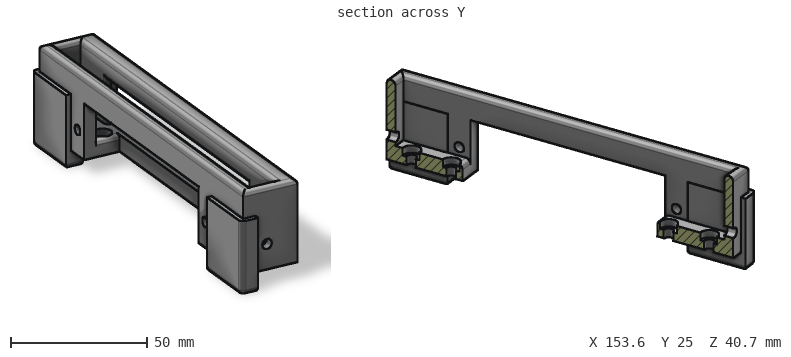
import cadquery as cq
import math

LENGTH = 153.6
DEPTH = 25.0
HEIGHT = 40.7

PAD_OVERHANG = 2.0
PAD_LENGTH = 25.0
PAD_DEPTH = 7.2
PAD_HEIGHT = 30.0
PAD_FILLET = PAD_OVERHANG

EDGE_FILLET = 2.0
FRAME_BASE = 7.2
FRONT_WALL = 5.0
BACK_WALL = 8.0
END_WALL = 2 * EDGE_FILLET
FLOOR = 6.8

OPENING_LENGTH = 83.9

WINDOW_LENGTH = 103.5
WINDOW_TOP = 32.0
LIP_THICKNESS = EDGE_FILLET
RECESS_MARGIN = 6.1

HOLE_DIAMETER = 4.0
COUNTERBORE_DIAMETER = 7.0
COUNTERBORE_DEPTH = 3.0
INNER_HOLE_X = 46.8
OUTER_HOLE_X = 64.2
INNER_HOLE_Y = 12.6
OUTER_HOLE_Y = 12.1
WALL_HOLE_Z = 17.5

TOLERANCE = 0.2

FRAME_LENGTH = LENGTH - 2 * PAD_OVERHANG
FRAME_FRONT = PAD_OVERHANG
CHANNEL_FRONT = FRAME_FRONT + FRONT_WALL
CHANNEL_BACK = DEPTH - BACK_WALL
CHANNEL_LENGTH = FRAME_LENGTH - 2 * END_WALL
FLOOR_TOP = FRAME_BASE + FLOOR


def block(length, y_min, y_max, z_min, z_max):
    """Box centred on X = 0 between the given Y and Z limits."""
    box = cq.Workplane("XY").box(length, y_max - y_min, z_max - z_min, centered=(True, False, False))
    return box.translate((0, y_min, z_min))


def flared_prism(plane, side_min, side_max, reach):
    """Prism through the frame whose two sides curve outward at the top, leaving rounded rims."""
    shoulder = HEIGHT - EDGE_FILLET
    arc_mid_offset = EDGE_FILLET * (1 - math.sqrt(0.5))
    arc_mid_z = HEIGHT - arc_mid_offset
    return (
        cq.Workplane(plane)
        .moveTo(side_min, FRAME_BASE)
        .lineTo(side_max, FRAME_BASE)
        .lineTo(side_max, shoulder)
        .threePointArc((side_max + arc_mid_offset, arc_mid_z), (side_max + EDGE_FILLET, HEIGHT))
        .lineTo(side_min - EDGE_FILLET, HEIGHT)
        .threePointArc((side_min - arc_mid_offset, arc_mid_z), (side_min, shoulder))
        .close()
        .extrude(reach, both=True)
    )


def make_frame():
    """Rectangular wall ring with rounded rims, a notch in the front wall and a window in the back wall."""
    frame = block(FRAME_LENGTH, FRAME_FRONT, DEPTH, FRAME_BASE, HEIGHT)
    frame = frame.faces(">Z").edges().fillet(EDGE_FILLET)
    channel = flared_prism("XZ", -CHANNEL_LENGTH / 2, CHANNEL_LENGTH / 2, DEPTH)
    channel = channel.intersect(flared_prism("YZ", CHANNEL_FRONT, CHANNEL_BACK, LENGTH))
    frame = frame.cut(channel)
    frame = frame.cut(block(OPENING_LENGTH, FRAME_FRONT, CHANNEL_FRONT, FRAME_BASE, PAD_HEIGHT))
    return cut_window(frame)


def cut_window(frame):
    """Back wall window level with the floor, rounded along the lip's top and ends, recessed at the back."""
    frame = frame.cut(block(WINDOW_LENGTH, CHANNEL_BACK, DEPTH, FLOOR_TOP, WINDOW_TOP))
    lip_edges = cq.selectors.BoxSelector(
        (-WINDOW_LENGTH / 2 - TOLERANCE, CHANNEL_BACK - TOLERANCE, FLOOR_TOP + TOLERANCE),
        (WINDOW_LENGTH / 2 + TOLERANCE, CHANNEL_BACK + TOLERANCE, WINDOW_TOP + TOLERANCE),
    )
    frame = frame.edges(lip_edges).fillet(EDGE_FILLET)
    recess_length = WINDOW_LENGTH + 2 * RECESS_MARGIN
    recess_front = CHANNEL_BACK + LIP_THICKNESS
    return frame.cut(block(recess_length, recess_front, DEPTH, FLOOR_TOP, WINDOW_TOP + RECESS_MARGIN))


def make_floor():
    """Left piece of floor between the walls, with its free upper edge rounded."""
    length = (CHANNEL_LENGTH - OPENING_LENGTH) / 2
    floor = block(length, CHANNEL_FRONT, CHANNEL_BACK, FRAME_BASE, FLOOR_TOP)
    floor = floor.edges(">X and >Z").fillet(EDGE_FILLET)
    return floor.translate((-(CHANNEL_LENGTH - length) / 2, 0, 0))


def make_pad():
    """Left pad, rounded at its outer front corner and around its bottom."""
    pad = cq.Workplane("XY").box(PAD_LENGTH, PAD_DEPTH, PAD_HEIGHT, centered=False)
    pad = pad.edges("|Z and <X and <Y").fillet(PAD_FILLET)
    pad = pad.faces("<Z").edges().fillet(PAD_FILLET)
    return pad.translate((-LENGTH / 2, 0, 0))


def cylinder(diameter, length, start, direction):
    """Round bar from a start point along a direction."""
    return cq.Workplane(cq.Solid.makeCylinder(diameter / 2, length, cq.Vector(*start), cq.Vector(*direction)))


def floor_hole(x, y):
    """Counterbored hole down through the floor."""
    hole = cylinder(HOLE_DIAMETER, FLOOR, (x, y, FRAME_BASE), (0, 0, 1))
    head = cylinder(COUNTERBORE_DIAMETER, COUNTERBORE_DEPTH, (x, y, FLOOR_TOP - COUNTERBORE_DEPTH), (0, 0, 1))
    return hole.union(head)


left_end = make_pad().union(make_floor())
result = make_frame().union(left_end).union(left_end.mirror("YZ"))

for side in (-1, 1):
    inner_x = side * INNER_HOLE_X
    result = result.cut(floor_hole(inner_x, INNER_HOLE_Y))
    result = result.cut(floor_hole(side * OUTER_HOLE_X, OUTER_HOLE_Y))
    result = result.cut(cylinder(HOLE_DIAMETER, DEPTH, (inner_x, 0, WALL_HOLE_Z), (0, 1, 0)))

result = result.cut(cylinder(HOLE_DIAMETER, LENGTH, (-LENGTH / 2, OUTER_HOLE_Y, WALL_HOLE_Z), (1, 0, 0)))